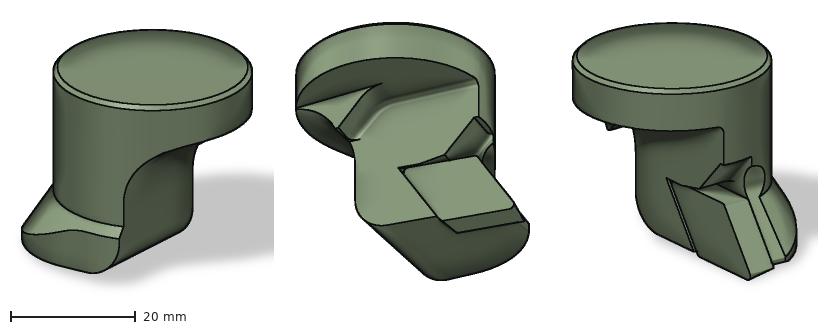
import cadquery as cq
import math


shank_radius = 16.0
top_chamfer = 0.7
flange_thickness = 7.0

flare_start_z = -21.3
flank_angle = 32.4
flare_tan = math.tan(math.radians(flank_angle))
flank_slant = 1 / math.cos(math.radians(flank_angle))
skirt_radius = 17.1
skirt_stretch = 5.0

back_x = 5.68
notch_radius = shank_radius - back_x
heel_radius = 6.0
toe_radius = 0.7
flank_x = -14.4
end_slope = 3.15
end_tan = math.tan(math.radians(end_slope))
end_z_on_axis = -30.1
reach = 40.0

rake_turn = 5.4
tip_x = -22.6
tip_z = -32.07
insert_side = 13.6
insert_angle = 90.0 - flank_angle - end_slope
insert_thickness = 5.55
insert_relief = 7.0
nose_radius = 0.8

gullet_height = 0.5
gullet_fillet = 1.2
gullet_wall_radius = 5.5
gullet_wall_top_x = 1.0
gullet_wall_end_z = -12.9
rib_y = 8.0
pocket_top_z = -13.7
pocket_wall_drop = 5.7
pocket_wall_x = -15.1
pocket_wall_run = 5.2
pocket_fillet = 0.9
relief_hole_radius = 3.7
relief_hole_z = -18.6
relief_hole_x = flank_x + (relief_hole_z - flare_start_z) * flare_tan - relief_hole_radius * flank_slant


def rake_plane(height):
    """Plane parallel to the rake face, raised by height; local x runs along +X, local y along +Z."""
    turn = math.radians(rake_turn)
    return cq.Plane(
        origin=(tip_x - height * math.sin(turn), height * math.cos(turn), 0),
        xDir=(math.cos(turn), math.sin(turn), 0),
        normal=(math.sin(turn), -math.cos(turn), 0),
    )


def along_insert(base_length, side_length):
    """Point in the rake plane, measured from the sharp tip along the two cutting edges."""
    base_direction = math.radians(end_slope)
    side_direction = math.radians(end_slope + insert_angle)
    return (
        base_length * math.cos(base_direction) + side_length * math.cos(side_direction),
        tip_z + base_length * math.sin(base_direction) + side_length * math.sin(side_direction),
    )


def make_insert():
    corners = [
        along_insert(0, 0),
        along_insert(insert_side, 0),
        along_insert(insert_side, insert_side),
        along_insert(0, insert_side),
        along_insert(0, 0),
    ]
    outline = cq.Sketch().polygon(corners).vertices().fillet(nose_radius)
    return cq.Workplane(rake_plane(0)).placeSketch(outline).extrude(insert_thickness, taper=insert_relief)


def make_shank():
    return (
        cq.Workplane("XY")
        .circle(shank_radius)
        .extrude(flare_start_z)
        .faces(">Z")
        .chamfer(top_chamfer)
    )


def make_skirt():
    """Cone below the shank, trimmed by the upright skirt outline."""
    depth = tip_z - flare_start_z
    cone = (
        cq.Workplane("XZ")
        .polyline([
            (0, flare_start_z),
            (shank_radius, flare_start_z),
            (shank_radius - depth * flare_tan, tip_z),
            (0, tip_z),
        ])
        .close()
        .revolve(360, (0, 0, 0), (0, 1, 0))
    )
    outline = (
        cq.Workplane("XY", origin=(-skirt_stretch / 2, 0, flare_start_z))
        .slot2D(2 * skirt_radius + skirt_stretch, 2 * skirt_radius)
        .extrude(depth)
    )
    return cone.intersect(outline)


def make_side_envelope():
    """Side outline run through along Y: flange, notch, heel, bottom edge, toe and flank."""
    toe_x = (flank_x + (end_z_on_axis - flare_start_z) * flare_tan) / (1 - end_tan * flare_tan)
    toe_z = end_z_on_axis + toe_x * end_tan
    heel_z = end_z_on_axis + back_x * end_tan
    lower = (
        cq.Workplane("XZ", origin=(0, reach / 2, 0))
        .polyline([
            (flank_x, flare_start_z),
            (toe_x, toe_z),
            (back_x, heel_z),
            (back_x, flare_start_z),
        ])
        .close()
        .extrude(reach)
    )
    lower = lower.edges(cq.selectors.NearestToPointSelector((back_x, 0, heel_z))).fillet(heel_radius)
    lower = lower.edges(cq.selectors.NearestToPointSelector((toe_x, 0, toe_z))).fillet(toe_radius)
    tangent_x = relief_hole_x + relief_hole_radius * math.cos(math.radians(flank_angle))
    tangent_z = relief_hole_z - relief_hole_radius * math.sin(math.radians(flank_angle))
    notch_center_z = -flange_thickness - notch_radius
    diagonal = notch_radius * math.sqrt(0.5)
    upper = (
        cq.Workplane("XZ", origin=(0, reach / 2, 0))
        .moveTo(-shank_radius, 0)
        .lineTo(-shank_radius, relief_hole_z)
        .lineTo(relief_hole_x, relief_hole_z)
        .lineTo(tangent_x, tangent_z)
        .lineTo(flank_x, flare_start_z)
        .lineTo(back_x, flare_start_z)
        .lineTo(back_x, notch_center_z)
        .threePointArc(
            (shank_radius - diagonal, notch_center_z + diagonal),
            (shank_radius, -flange_thickness),
        )
        .lineTo(shank_radius, 0)
        .close()
        .extrude(reach)
    )
    return upper.union(lower)


def make_gullet():
    """Space in front of the rake face, under the flange, with a rounded floor corner."""
    wall_end_x = shank_radius - math.sqrt(
        notch_radius**2 - (gullet_wall_end_z + flange_thickness + notch_radius) ** 2
    )
    left = -reach / 2
    gullet = (
        cq.Workplane(rake_plane(gullet_height))
        .polyline([
            (left, -flange_thickness),
            (gullet_wall_top_x - tip_x, -flange_thickness),
            (wall_end_x - tip_x, gullet_wall_end_z),
            (reach, gullet_wall_end_z),
            (reach, -reach),
            (left, -reach),
        ])
        .close()
        .extrude(-reach)
    )
    wall_top = cq.selectors.NearestToPointSelector((gullet_wall_top_x, reach / 2, -flange_thickness))
    gullet = gullet.edges(wall_top).fillet(gullet_wall_radius)
    roof_and_wall = cq.selectors.BoxSelector(
        (-reach, -reach, gullet_wall_end_z + gullet_fillet),
        (reach, reach, 0),
    )
    gullet = gullet.faces("<Y").edges(roof_and_wall).fillet(gullet_fillet)
    behind_rib = cq.Workplane("XY").box(2 * reach, reach, reach, centered=(True, False, False))
    return gullet.union(behind_rib.translate((0, rib_y, -flange_thickness - reach)))


def make_seat_opening():
    """Clears the step between gullet floor and rake face over the insert and past its cutting edges."""
    overrun = insert_thickness
    return (
        cq.Workplane(rake_plane(gullet_height))
        .polyline([
            along_insert(-overrun, -overrun),
            along_insert(insert_side, -overrun),
            along_insert(insert_side, insert_side),
            along_insert(-overrun, insert_side),
        ])
        .close()
        .extrude(gullet_height)
    )


def make_pocket_relief():
    """Open space above the insert, down to the level of its seat, with a rounded wall foot."""
    wall_top_x = pocket_wall_x - tip_x
    wall_end_z = pocket_top_z - pocket_wall_drop
    seat_shrink = insert_thickness * math.tan(math.radians(insert_relief))
    seat_side = insert_side - seat_shrink / math.sin(math.radians(insert_angle))
    relief = (
        cq.Workplane(rake_plane(gullet_height))
        .polyline([
            (-insert_side, pocket_top_z),
            (wall_top_x, pocket_top_z),
            (wall_top_x + pocket_wall_run, wall_end_z),
            along_insert(insert_side, seat_side),
            along_insert(-insert_side, seat_side),
        ])
        .close()
        .extrude(gullet_height + insert_thickness)
    )
    wall_foot = cq.selectors.NearestToPointSelector((
        pocket_wall_x + pocket_wall_run / 2,
        -insert_thickness,
        pocket_top_z - pocket_wall_drop / 2,
    ))
    return relief.edges(wall_foot).fillet(pocket_fillet)


def make_relief_hole():
    return (
        cq.Workplane("XZ", origin=(relief_hole_x, 0, relief_hole_z))
        .circle(relief_hole_radius)
        .extrude(reach)
    )


insert = make_insert()
holder = make_shank().union(make_skirt()).intersect(make_side_envelope())
holder = holder.cut(make_gullet())
holder = holder.cut(make_seat_opening())
holder = holder.cut(make_pocket_relief())
holder = holder.cut(make_relief_hole())
holder = holder.cut(insert)

result = cq.Compound.makeCompound([*holder.vals(), insert.val()])